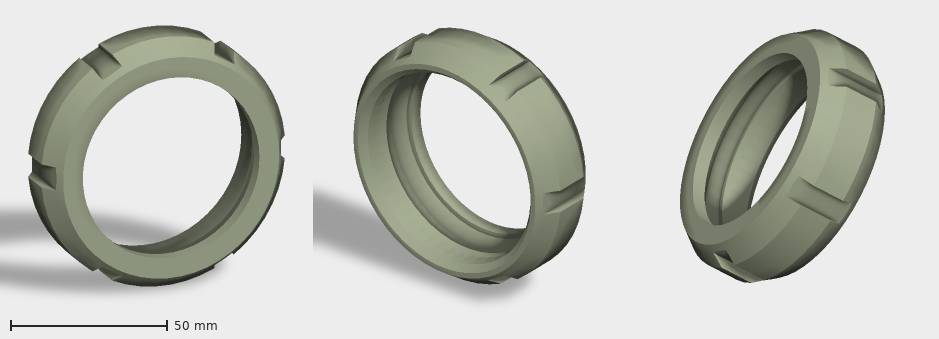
import cadquery as cq

width = 26.0
outer_diameter = 83.7
rim_flat_width = 11.9
face_diameter = 74.1

mouth_diameter = 70.4
thread_diameter = 66.2
relief_diameter = 70.4
seat_diameter = 63.7
bore_diameter = 60.5
mouth_chamfer_length = 2.5
thread_end_depth = 12.05
seat_cone_depth = 17.2
seat_floor_depth = 21.25

slot_count = 6
slot_width = 7.8
slot_floor_radius = 38.5

front_face = -width / 2
back_face = width / 2
outer_radius = outer_diameter / 2
face_radius = face_diameter / 2
mouth_radius = mouth_diameter / 2
thread_radius = thread_diameter / 2
relief_radius = relief_diameter / 2
seat_radius = seat_diameter / 2
bore_radius = bore_diameter / 2

mouth_end = front_face + mouth_chamfer_length
thread_end = front_face + thread_end_depth
cone_start = front_face + seat_cone_depth
cone_end = cone_start + relief_radius - seat_radius
seat_floor = front_face + seat_floor_depth


def make_ring():
    """Revolve the ring section, given as (X, radius) points, about X."""
    section = [
        (front_face, face_radius),
        (-rim_flat_width / 2, outer_radius),
        (rim_flat_width / 2, outer_radius),
        (back_face, face_radius),
        (back_face, bore_radius),
        (seat_floor, bore_radius),
        (seat_floor, seat_radius),
        (cone_end, seat_radius),
        (cone_start, relief_radius),
        (thread_end, relief_radius),
        (thread_end, thread_radius),
        (mouth_end, thread_radius),
        (front_face, mouth_radius),
    ]
    return cq.Workplane("XY").polyline(section).close().revolve(360, (0, 0, 0), (1, 0, 0))


def make_slot_cutter(angle):
    """Box outside the flat slot floor, turned about X from the +Y direction."""
    cutter_height = outer_radius
    cutter = cq.Workplane("XY").box(width, cutter_height, slot_width)
    cutter = cutter.translate((0, slot_floor_radius + cutter_height / 2, 0))
    return cutter.rotate((0, 0, 0), (1, 0, 0), angle)


result = make_ring()
for slot in range(slot_count):
    result = result.cut(make_slot_cutter(slot * 360 / slot_count))